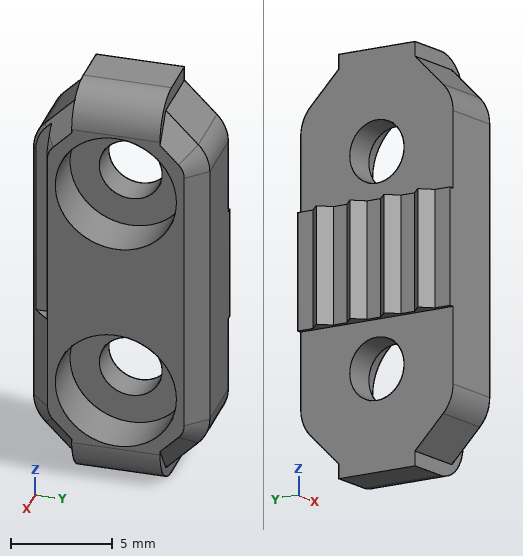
import cadquery as cq

length = 21.5
width = 9.0
depth = 5.1
tooth_height = 0.6
tooth_pitch = 2.0
tooth_count = 4
pad_height = 0.25
pad_length = 6.0
tab_width = 4.52
tab_step = 0.75
corner_radius = 2.0
end_radius = 2.0
edge_chamfer = 1.0
hole_diameter = 3.2
counterbore_diameter = 6.2
counterbore_depth = 2.55
hole_spacing = 11.0
notch_depth = 0.84
notch_wall_y = -3.55
notch_floor_z = -2.09

body_depth = depth - tooth_height - pad_height
shoulder_length = length - 2 * tab_step
side_length = shoulder_length - (width - tab_width)


def make_body():
    """Octagonal plate with chamfered +X rim and narrow rounded end tabs."""
    half_width, half_tab = width / 2, tab_width / 2
    half_shoulder, half_side = shoulder_length / 2, side_length / 2
    outline = [
        (half_tab, half_shoulder),
        (half_width, half_side),
        (half_width, -half_side),
        (half_tab, -half_shoulder),
        (-half_tab, -half_shoulder),
        (-half_width, -half_side),
        (-half_width, half_side),
        (-half_tab, half_shoulder),
    ]
    plate = cq.Workplane("YZ").polyline(outline).close().extrude(body_depth)
    margin = 0.22
    corner = cq.selectors.BoxSelector(
        (-margin, -half_width - margin, -half_side - margin),
        (body_depth + margin, half_width + margin, half_side + margin),
    )
    plate = plate.edges("|X").edges(corner).fillet(corner_radius)
    plate = plate.faces(">X").chamfer(edge_chamfer)
    tab_bar = make_rounded_bar(tab_width)
    return plate.intersect(make_rounded_bar(width)).union(tab_bar)


def make_rounded_bar(bar_width):
    """Full-length bar with both ends rounded toward the +X face."""
    bar = cq.Workplane("XY").box(body_depth, bar_width, length, centered=(False, True, True))
    return bar.faces(">X").edges("|Y").fillet(end_radius)


def make_toothed_pad():
    """Raised pad carrying a row of 90 degree teeth that run along Z."""
    pad = cq.Workplane("XY").box(pad_height, width, pad_length).translate((-pad_height / 2, 0, 0))
    for index in range(tooth_count):
        center_y = (index - (tooth_count - 1) / 2) * tooth_pitch
        profile = [
            (-pad_height, center_y - tooth_height),
            (-pad_height - tooth_height, center_y),
            (-pad_height, center_y + tooth_height),
        ]
        tooth = cq.Workplane("XY").polyline(profile).close().extrude(pad_length / 2, both=True)
        pad = pad.union(tooth)
    return pad


def make_screw_holes():
    """Two through holes, counterbored from the +X face."""
    centers = [(0, -hole_spacing / 2), (0, hole_spacing / 2)]
    bores = cq.Workplane("YZ").pushPoints(centers).circle(hole_diameter / 2).extrude(body_depth)
    counterbores = (
        cq.Workplane("YZ", origin=(body_depth - counterbore_depth, 0, 0))
        .pushPoints(centers)
        .circle(counterbore_diameter / 2)
        .extrude(counterbore_depth)
    )
    return bores.union(counterbores)


def make_edge_notch():
    """Step along the -Y chamfer, open at the upper shoulder."""
    return (
        cq.Workplane("XY")
        .box(notch_depth, width / 2 + notch_wall_y, length / 2 - notch_floor_z, centered=False)
        .translate((body_depth - notch_depth, -width / 2, notch_floor_z))
    )


result = make_body().union(make_toothed_pad()).cut(make_screw_holes()).cut(make_edge_notch())